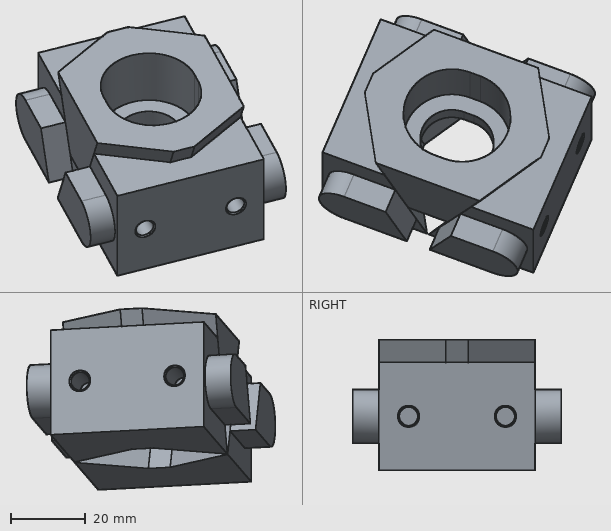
import cadquery as cq
import math

clamp_length = 61.0
body_width = 42.0
lug_span = 56.0
jaw_height = 29.0
wedge_bottom = 13.0
wedge_top = 35.07

slope = math.tan(math.radians(23.0))
half_gap = 0.2
flank_angle = 30.0
flat_width = 6.0

lug_height = 14.5
lug_radius = lug_height / 2
lug_end_inset = 1.75
lug_end = clamp_length / 2 - lug_end_inset

screw_spacing = 26.0
screw_diameter = 5.0
screw_mouth_diameter = 5.8
screw_depth = 12.0
mid_height = jaw_height / 2

slot_travel = 3.0
head_diameter = 26.0
bolt_diameter = 17.0
head_depth = 17.0


def v_half_width(z):
    """Half width of the V at height z, at the front and back faces."""
    return half_gap + slope * z


def hexagon_points(z):
    """Truncated hexagon formed by the wedge flanks at height z."""
    front_x = v_half_width(z)
    half_width = body_width / 2
    half_flat = flat_width / 2
    end_x = front_x + (half_width - half_flat) * math.tan(math.radians(flank_angle))
    return [
        (front_x, -half_width),
        (end_x, -half_flat),
        (end_x, half_flat),
        (front_x, half_width),
        (-front_x, half_width),
        (-end_x, half_flat),
        (-end_x, -half_flat),
        (-front_x, -half_width),
    ]


def hexagonal_wedge(z_low, z_high):
    """Solid between the hexagons at two heights, with sloping flanks."""
    return (
        cq.Workplane("XY", origin=(0, 0, z_low))
        .polyline(hexagon_points(z_low)).close()
        .workplane(offset=z_high - z_low)
        .polyline(hexagon_points(z_high)).close()
        .loft(ruled=True)
    )


def bolt_slot(diameter, depth):
    """Round-ended slot cut downwards from the wedge top."""
    return (
        cq.Workplane("XY", origin=(0, 0, wedge_top))
        .slot2D(slot_travel + diameter, diameter)
        .extrude(-depth)
    )


def make_wedge():
    wedge = hexagonal_wedge(wedge_bottom, wedge_top)
    wedge = wedge.cut(bolt_slot(head_diameter, head_depth))
    return wedge.cut(bolt_slot(bolt_diameter, wedge_top - wedge_bottom))


def screw_hole(y):
    """Blind hole with a chamfered mouth, entering the +X end face."""
    end_plane = cq.Workplane("YZ", origin=(clamp_length / 2, y, mid_height))
    hole = end_plane.circle(screw_diameter / 2).extrude(-screw_depth)
    mouth_depth = (screw_mouth_diameter - screw_diameter) / 2
    mouth = (
        end_plane.circle(screw_mouth_diameter / 2)
        .workplane(offset=-mouth_depth)
        .circle(screw_diameter / 2)
        .loft(ruled=True)
    )
    return hole.union(mouth)


def v_opening():
    """Trapezoidal opening between the jaws, running through the lugs."""
    low = v_half_width(0)
    high = v_half_width(jaw_height)
    return (
        cq.Workplane("XZ")
        .polyline([(-low, 0), (low, 0), (high, jaw_height), (-high, jaw_height)]).close()
        .extrude(lug_span / 2, both=True)
    )


def make_right_jaw():
    half_length = clamp_length / 2
    block = cq.Workplane("XY").box(
        half_length, body_width, jaw_height, centered=(False, True, False)
    )
    lug = (
        cq.Workplane("XZ", origin=(0, 0, mid_height))
        .moveTo(0, -lug_radius)
        .lineTo(lug_end - lug_radius, -lug_radius)
        .threePointArc((lug_end, 0), (lug_end - lug_radius, lug_radius))
        .lineTo(0, lug_radius)
        .close()
        .extrude(lug_span / 2, both=True)
    )
    jaw = block.union(lug)
    jaw = jaw.cut(v_opening())
    jaw = jaw.cut(hexagonal_wedge(0, jaw_height))
    for side in (-1, 1):
        jaw = jaw.cut(screw_hole(side * screw_spacing / 2))
    return jaw


wedge = make_wedge()
right_jaw = make_right_jaw()
left_jaw = right_jaw.mirror("YZ")

result = cq.Compound.makeCompound([wedge.val(), right_jaw.val(), left_jaw.val()])